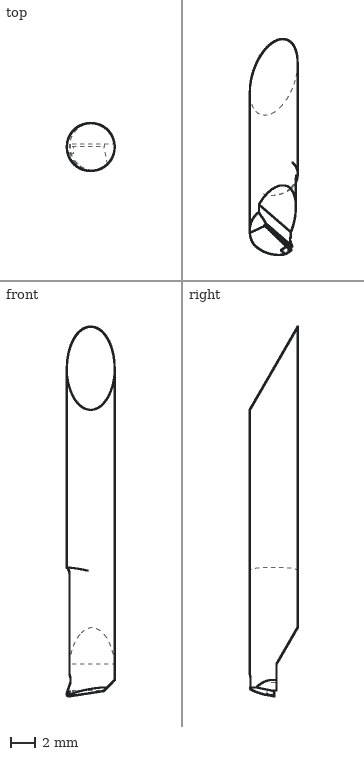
import cadquery as cq
import math

length = 30.7
radius = 2.0
bevel_angle = 60.0
bevel_rise = math.tan(math.radians(bevel_angle))
clear = 2 * radius

neck_offset = 0.2
neck_bottom = 1.85
neck_top = 10.2
runout_height = 0.55
runout_depth = 0.25
runout_radius = (runout_height**2 + runout_depth**2) / (2 * runout_depth)

groove_offset = 0.25
groove_radius = 1.95
groove_top = 1.55
groove_bottom = 1.17
flank_bottom = -0.15
flank_shift = 0.4
flank_radius = 2.4
sections = [
    (neck_bottom, neck_offset, 0, radius),
    (groove_top, groove_offset, 0, groove_radius),
    (groove_bottom, groove_offset, 0, groove_radius),
    (flank_bottom, groove_offset, flank_shift, flank_radius),
]

flat_y = 0.25
flat_top = 2.7
rake_y = 0.05
rake_top = 0.5

nose_x = -1.78
nose_height = 0.18
nose_bulge = 0.3
end_x = 1.07
end_z = 0.43
chamfer_top = 1.38
clearance_angle = 10.0

tip_right = -1.4
tip_depth = 0.6
tip_height = 0.4


def cut_profile_along_y(profile):
    """Extrude an XZ outline through the whole bar, both ways from Y = 0."""
    return profile.close().extrude(clear, both=True)


def make_shank():
    """Round bar with a sloping top, highest at +Y."""
    low_edge = length - 2 * radius * bevel_rise
    profile = (
        cq.Workplane("YZ")
        .moveTo(-radius, 0)
        .lineTo(radius, 0)
        .lineTo(radius, length)
        .lineTo(-radius, low_edge)
        .close()
        .extrude(clear, both=True)
    )
    return cq.Workplane("XY").circle(radius).extrude(length).intersect(profile)


def make_neck_envelope():
    """Revolved neck whose top runs out to the full shank along a concave arc."""
    outer = radius + runout_depth
    half_angle = math.atan2(runout_depth, runout_height)
    arc_middle = (
        radius + runout_radius * (1 - math.cos(half_angle)),
        neck_top + runout_radius * math.sin(half_angle),
    )
    return (
        cq.Workplane("XZ")
        .moveTo(0, neck_bottom)
        .lineTo(radius, neck_bottom)
        .lineTo(radius, neck_top)
        .threePointArc(arc_middle, (outer, neck_top + runout_height))
        .lineTo(outer, length)
        .lineTo(0, length)
        .close()
        .revolve(360, (0, 0, 0), (0, 1, 0))
        .translate((neck_offset, 0, 0))
    )


def make_head_envelope():
    """Groove and drafted flank, ruled between consecutive circular sections."""
    head = cq.Workplane("XY")
    for upper, lower in zip(sections, sections[1:]):
        wires = [
            cq.Wire.makeCircle(r, cq.Vector(x, y, z), cq.Vector(0, 0, 1))
            for z, x, y, r in (upper, lower)
        ]
        head = head.add(cq.Solid.makeLoft(wires, True))
    return head.combine()


def make_back_relief():
    """Sloping cut, flat and stepped rake face on the +Y side of the head."""
    slope_top = flat_top + (radius + clear - flat_y) * bevel_rise
    return (
        cq.Workplane("YZ")
        .moveTo(rake_y, -clear)
        .lineTo(rake_y, rake_top)
        .lineTo(flat_y, rake_top)
        .lineTo(flat_y, flat_top)
        .lineTo(radius + clear, slope_top)
        .lineTo(radius + clear, -clear)
        .close()
        .extrude(clear, both=True)
    )


def make_end_cut():
    """Inclined end face with a rounded nose, rising toward -Y for clearance."""
    slope = end_z / (end_x - nose_x)
    nose_left = -radius
    nose_mid = (nose_left + nose_bulge * (nose_x - nose_left), nose_bulge * nose_height)
    profile = (
        cq.Workplane("XZ")
        .moveTo(-clear, nose_height)
        .lineTo(nose_left, nose_height)
        .threePointArc(nose_mid, (nose_x, 0))
        .lineTo(clear, (clear - nose_x) * slope)
        .lineTo(clear, -clear)
        .lineTo(-clear, -clear)
    )
    axis_start = (0, rake_y, 0)
    axis_end = (1, rake_y, 0)
    return cut_profile_along_y(profile).rotate(axis_start, axis_end, -clearance_angle)


def make_chamfer_cut():
    """Flat chamfer on the +X side of the end."""
    profile = (
        cq.Workplane("XZ")
        .moveTo(end_x, end_z)
        .lineTo(radius, chamfer_top)
        .lineTo(clear, chamfer_top)
        .lineTo(clear, -clear)
        .lineTo(end_x, -clear)
    )
    return cut_profile_along_y(profile)


def make_tip_block():
    """Corner block that bounds the cutting tip."""
    corner = (tip_right - clear, rake_y - tip_depth, tip_height - clear)
    return cq.Workplane("XY").box(clear, clear, clear, centered=False).translate(corner)


envelope = make_neck_envelope().union(make_head_envelope())
bar = make_shank().intersect(envelope)
bar = bar.cut(make_back_relief()).cut(make_end_cut()).cut(make_chamfer_cut())

cutting_tip = bar.intersect(make_tip_block())
holder = bar.cut(make_tip_block())

result = cq.Compound.makeCompound([holder.val(), cutting_tip.val()])